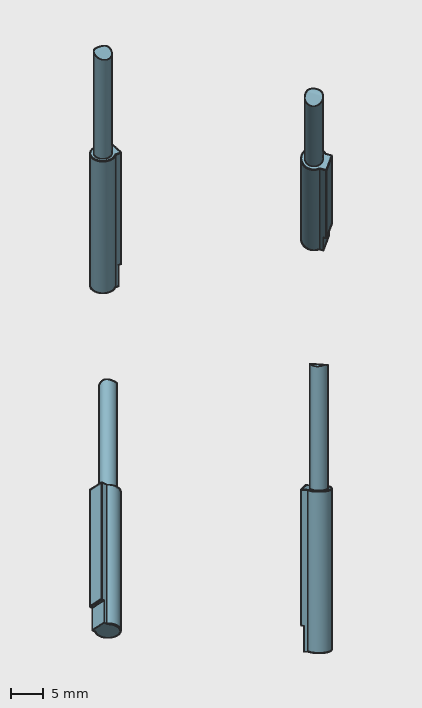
import cadquery as cq
import math

total_height = 45.25
body_diameter = 4.0
body_height = 25.55
body_chamfer = 0.15
rod_diameter = 2.8

key_width = rod_diameter
key_back = 2.5
key_step_height = 4.05
edge_chamfer = 0.1

crest_radius = 1.25
slope_start_x = -0.35
slope_angle = math.radians(19)

body_radius = body_diameter / 2
rod_radius = rod_diameter / 2


def make_body():
    """Round body with a chamfered lower rim."""
    body = cq.Workplane("XY").circle(body_radius).extrude(body_height)
    return body.faces("<Z").chamfer(body_chamfer)


def make_key():
    """Square-backed key whose lower end is cut back flush with the body."""
    profile = [
        (0, 0),
        (body_radius, 0),
        (body_radius, key_step_height),
        (key_back, key_step_height),
        (key_back, body_height),
        (0, body_height),
    ]
    return cq.Workplane("YZ").polyline(profile).close().extrude(key_width / 2, both=True)


def make_holder():
    """Body and key joined, with the top rim and the back of the key chamfered."""
    holder = make_body().union(make_key())
    rim = holder.faces(">Z").edges()
    key_edges = holder.faces(">Y").edges("not >Z")
    return rim.add(key_edges).chamfer(edge_chamfer)


def make_rod():
    """Rod whose top is rounded at -X and slopes down towards +X."""
    crest_x = slope_start_x - crest_radius * math.sin(slope_angle)
    crest_center_z = total_height - crest_radius
    slope_start_z = crest_center_z + crest_radius * math.cos(slope_angle)
    slope_end_z = slope_start_z - (rod_radius - slope_start_x) * math.tan(slope_angle)
    left_offset = -rod_radius - crest_x
    left_z = crest_center_z + math.sqrt(crest_radius**2 - left_offset**2)
    profile = (
        cq.Workplane("XZ")
        .moveTo(-rod_radius, 0)
        .lineTo(-rod_radius, left_z)
        .threePointArc((crest_x, total_height), (slope_start_x, slope_start_z))
        .lineTo(rod_radius, slope_end_z)
        .lineTo(rod_radius, 0)
        .close()
        .extrude(rod_diameter, both=True)
    )
    return cq.Workplane("XY").circle(rod_radius).extrude(total_height).intersect(profile)


result = make_holder().union(make_rod())